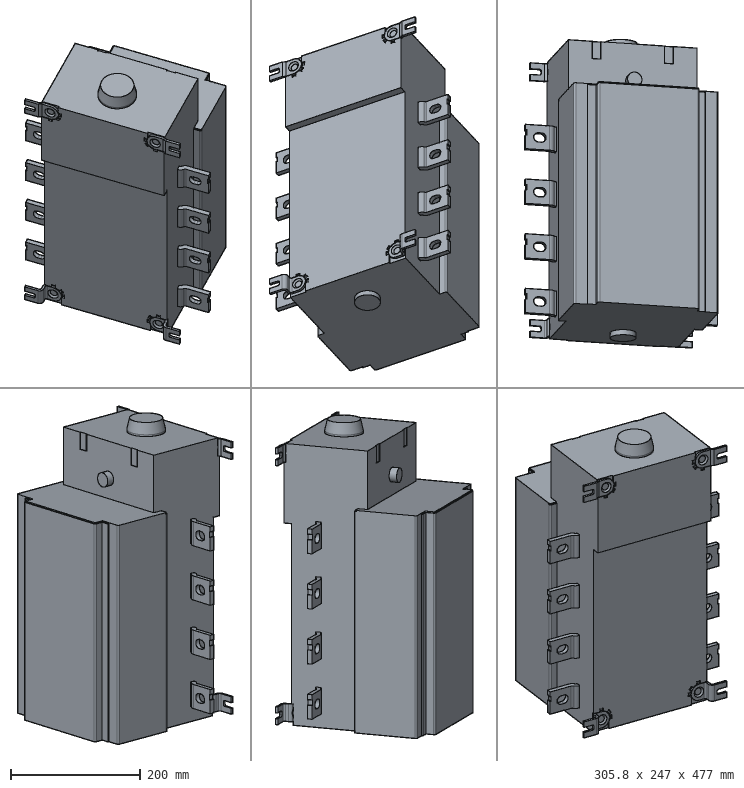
import cadquery as cq
import math


body_width = 205.0
body_height = 447.5
upper_depth = 139.5
upper_front_height = 127.0
lower_front_setback = 12.5
notch_width = 14.0
notch_depth = 1.5
notch_height = 27.5
notch_offset = 57.5

cover_width = 230.0
cover_height = 354.5
cover_front = 121.5
shoulder_y = 226.0
cover_back = 243.5
panel_width = 161.5
strip_width = 188.0
strip_thickness = 2.0
cover_corner_radius = 3.0
lid_thickness = 2.0
overlap = 5.0
lid_inset = 1.5

knob_y = 59.5
knob_height = 21.5
knob_rim_height = 3.0
knob_base_radius = 30.0
knob_top_radius = 25.8
bottom_boss_y = 76.5
bottom_boss_radius = 20.0
bottom_boss_height = 8.0
rear_boss_z = 387.5
rear_boss_radius = 11.5
rear_boss_back = 151.5

terminal_span = 305.8
terminal_count = 4
terminal_pitch = 88.0
lowest_terminal_z = 45.0
terminal_width = 39.0
terminal_thickness = 7.5
terminal_back = 67.0
terminal_bend_x = 110.0
terminal_jog = 5.2
terminal_bend_angle = math.radians(45)
terminal_embed = 7.0
terminal_bend_radius = 3.5
terminal_slot_x = 130.0
terminal_slot_length = 19.5
terminal_slot_height = 15.0
end_notch_depth = 2.0
end_notch_height = 8.5
end_notch_rise = 6.5

foot_front = -3.5
foot_thickness = 4.0
flange_back = foot_front + foot_thickness
foot_height = 28.0
foot_tip_x = 129.5
foot_slot_height = 9.0
foot_slot_end_x = 111.5
foot_slot_radius = 3.0
leg_outer_x = 104.0
jog_outer_x = 106.5
jog_inner_x = 101.0
foot_bend_radius = 3.0
screw_x = 88.0
upper_screw_drop = 15.7
upper_screw_z = body_height - upper_screw_drop
lower_screw_z = 19.5
screw_mouth_radius = 8.5
screw_floor_radius = 5.5
screw_depth = 3.0
pocket_depth = 3.0
pocket_inner_x = 74.5
tooth_reach = 18.5
tooth_width = 6.0
tooth_angles = (0, 35, 90)


def box(x_min, x_max, y_min, y_max, z_min, z_max):
    """Box given by its limits along each axis."""
    size = (x_max - x_min, y_max - y_min, z_max - z_min)
    return cq.Workplane("XY").box(*size, centered=False).translate((x_min, y_min, z_min))


def centered_box(width, y_min, y_max, z_min, z_max):
    """Box that is symmetric about the middle of the part."""
    return box(-width / 2, width / 2, y_min, y_max, z_min, z_max)


def both_sides(left_part):
    """A left-hand part together with its right-hand twin."""
    return left_part.union(left_part.mirror("YZ"))


def round_bends(strip, inside_corners, outside_corners, inside_radius, thickness):
    """Round the bends of a strip, each given by its X, Y corner, keeping its thickness even."""
    for corners, radius in (
        (inside_corners, inside_radius),
        (outside_corners, inside_radius + thickness),
    ):
        for x, y in corners:
            strip = strip.edges(cq.selectors.NearestToPointSelector((x, y, 0))).fillet(radius)
    return strip


def housing():
    step_z = body_height - upper_front_height
    body = centered_box(body_width, lower_front_setback, upper_depth, 0, body_height)
    body = body.union(centered_box(body_width, 0, upper_depth, step_z, body_height))
    notch = box(
        -notch_offset - notch_width / 2, -notch_offset + notch_width / 2,
        upper_depth - notch_depth, upper_depth,
        body_height - notch_height, body_height,
    )
    return body.cut(both_sides(notch))


def rear_cover():
    shell_top = cover_height - lid_thickness
    shell = centered_box(cover_width, cover_front, shoulder_y, 0, shell_top)
    shell = shell.edges("|Z").fillet(cover_corner_radius)
    panel = centered_box(panel_width, shoulder_y - overlap, cover_back, 0, shell_top)
    panel = panel.edges("|Z and >Y").fillet(cover_corner_radius)
    strip = centered_box(strip_width, shoulder_y - overlap, shoulder_y + strip_thickness, 0, shell_top)
    lid = centered_box(
        cover_width, cover_front + lid_inset, shoulder_y, shell_top, cover_height
    ).edges("|Z").fillet(cover_corner_radius)
    lid_panel = centered_box(
        panel_width - 2 * lid_inset, shoulder_y - overlap, cover_back - lid_inset, shell_top, cover_height
    )
    return shell.union(panel).union(strip).union(lid).union(lid_panel)


def knob():
    rim = cq.Workplane("XY").circle(knob_base_radius).extrude(knob_rim_height)
    cone = (
        rim.faces(">Z").workplane().circle(knob_base_radius)
        .workplane(offset=knob_height - knob_rim_height).circle(knob_top_radius)
        .loft(ruled=True, combine=True)
    )
    return cone.translate((0, knob_y, body_height))


def bottom_boss():
    boss = cq.Workplane("XY").circle(bottom_boss_radius).extrude(-bottom_boss_height)
    return boss.translate((0, bottom_boss_y, 0))


def rear_boss():
    boss = cq.Workplane("XZ").circle(rear_boss_radius).extrude(-(rear_boss_back - upper_depth))
    return boss.translate((0, upper_depth, rear_boss_z))


def terminal(center_z):
    """Left terminal: flat lug with an oblong hole, jogged forward at 45 degrees into the housing."""
    tip_x = -terminal_span / 2
    front = terminal_back - terminal_thickness
    root_x = -body_width / 2 + terminal_embed
    bend_shift = terminal_thickness * math.tan(terminal_bend_angle / 2)
    front_bend_x = -terminal_bend_x - bend_shift
    front_bends = [(front_bend_x, front), (front_bend_x + terminal_jog, front - terminal_jog)]
    back_bends = [
        (-terminal_bend_x + terminal_jog, terminal_back - terminal_jog),
        (-terminal_bend_x, terminal_back),
    ]
    profile = [
        (tip_x, front),
        *front_bends,
        (root_x, front - terminal_jog),
        (root_x, terminal_back - terminal_jog),
        *back_bends,
        (tip_x, terminal_back),
    ]
    lug = cq.Workplane("XY").polyline(profile).close().extrude(terminal_width / 2, both=True)
    lug = round_bends(
        lug, (front_bends[0], back_bends[0]), (front_bends[1], back_bends[1]),
        terminal_bend_radius, terminal_thickness,
    )
    slot = (
        cq.Workplane("XZ").center(-terminal_slot_x, 0)
        .slot2D(terminal_slot_length, terminal_slot_height).extrude(-terminal_back)
    )
    end_notch = box(
        tip_x, tip_x + end_notch_depth, front, terminal_back,
        end_notch_rise - end_notch_height / 2, end_notch_rise + end_notch_height / 2,
    )
    return lug.cut(slot).cut(end_notch).translate((0, 0, center_z))


def foot_strap(face_y, back_step, front_step):
    """Left foot strip: plate set into the face at face_y, stepped forward to the flange.

    Each step is a pair of distances from the middle: at the plate and at the flange.
    """
    plate_back = face_y + pocket_depth
    plate_front = plate_back - foot_thickness
    profile = [
        (-screw_x, plate_back),
        (-back_step[0], plate_back),
        (-back_step[1], flange_back),
        (-foot_tip_x, flange_back),
        (-foot_tip_x, foot_front),
        (-front_step[1], foot_front),
        (-front_step[0], plate_front),
        (-screw_x, plate_front),
    ]
    return cq.Workplane("XY").polyline(profile).close().extrude(foot_height / 2, both=True)


def upper_strap():
    """Nearly flat strap with a small slanted jog."""
    jog = (jog_inner_x, jog_outer_x)
    return foot_strap(0, jog, jog)


def lower_strap():
    """Strap with a straight leg and rounded bends."""
    leg_inner_x = leg_outer_x - foot_thickness
    strap = foot_strap(lower_front_setback, (leg_outer_x, leg_outer_x), (leg_inner_x, leg_inner_x))
    plate_back = lower_front_setback + pocket_depth
    inside_corners = [(-leg_outer_x, flange_back), (-leg_inner_x, plate_back - foot_thickness)]
    outside_corners = [(-leg_inner_x, foot_front), (-leg_outer_x, plate_back)]
    return round_bends(strap, inside_corners, outside_corners, foot_bend_radius, foot_thickness)


def disc(radius, y_min, y_max):
    """Disc around the screw axis."""
    return cq.Workplane("XZ").circle(radius).extrude(y_min - y_max).translate((-screw_x, y_min, 0))


def foot(strap, face_y, screw_z):
    """Left foot made from a strap, with a rounded plate end and a slot open at the tip."""
    plate_back = face_y + pocket_depth
    slot = box(
        -foot_tip_x, -foot_slot_end_x, foot_front, flange_back,
        -foot_slot_height / 2, foot_slot_height / 2,
    ).edges("|Y and >X").fillet(foot_slot_radius)
    plate_end = disc(foot_height / 2, plate_back - foot_thickness, plate_back)
    return strap.cut(slot).union(plate_end).translate((0, 0, screw_z))


def foot_pocket(face_y, screw_z, edge_z):
    """Left recess for a foot, open to the housing edge at edge_z, with three teeth."""
    back = face_y + pocket_depth
    half_height = foot_height / 2
    inward = math.copysign(1, screw_z - edge_z)
    recess = disc(half_height, face_y, back)
    for angle in tooth_angles:
        tooth = box(0, tooth_reach, face_y, back, -tooth_width / 2, tooth_width / 2)
        tooth = tooth.rotate((0, 0, 0), (0, 1, 0), -inward * angle)
        recess = recess.union(tooth.translate((-screw_x, 0, 0)))
    recess = recess.union(
        box(-body_width / 2, -screw_x, face_y, back, -half_height, half_height)
    ).translate((0, 0, screw_z))
    low_z, high_z = sorted((screw_z, edge_z))
    return recess.union(box(-body_width / 2, -pocket_inner_x, face_y, back, low_z, high_z))


def screw_recess(face_y, screw_z):
    """Tapered blind hole in the plate of a left foot."""
    front = face_y + pocket_depth - foot_thickness
    cone = cq.Solid.makeCone(
        screw_mouth_radius, screw_floor_radius, screw_depth,
        cq.Vector(-screw_x, front, screw_z), cq.Vector(0, 1, 0),
    )
    return cq.Workplane(obj=cone)


result = housing().union(rear_cover()).union(knob()).union(bottom_boss()).union(rear_boss())

for index in range(terminal_count):
    result = result.union(both_sides(terminal(lowest_terminal_z + index * terminal_pitch)))

foot_rows = [
    (upper_strap(), 0, upper_screw_z, body_height),
    (lower_strap(), lower_front_setback, lower_screw_z, 0),
]
for strap, face_y, screw_z, edge_z in foot_rows:
    result = result.cut(both_sides(foot_pocket(face_y, screw_z, edge_z)))
    result = result.union(both_sides(foot(strap, face_y, screw_z)))
    result = result.cut(both_sides(screw_recess(face_y, screw_z)))